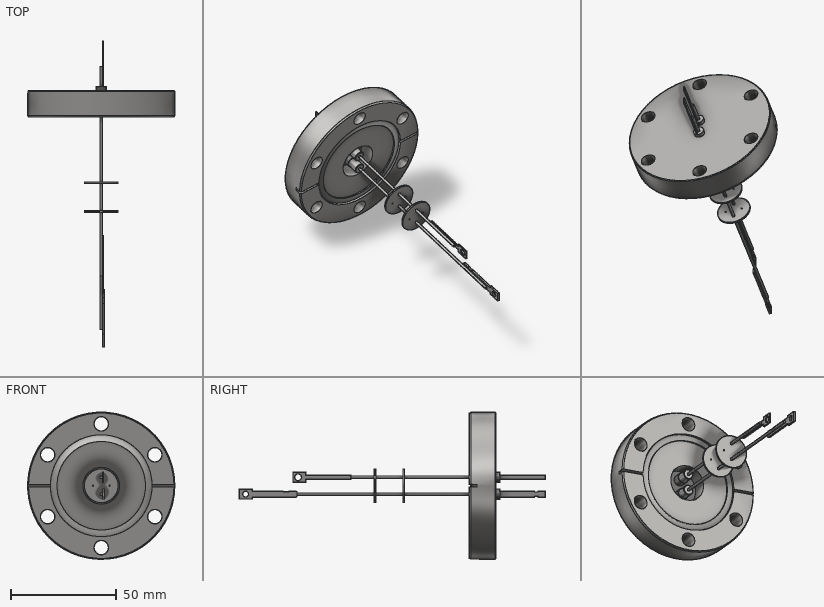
import cadquery as cq
import math


flange_dia = 69.85
flange_thickness = 12.7
front_chamfer_radial = 0.45
front_chamfer_axial = 0.9
rear_chamfer = 0.4
bolt_count = 6
bolt_circle_dia = 58.7
bolt_hole_dia = 6.7

recess_dia = 48.3
knife_dia = 42.0
knife_setback = 0.6
knife_angle = 12.0
inner_face_setback = 1.4
leak_groove_width = 1.2
leak_groove_depth = 3.8

bore_dia = 17.4
bore_floor_y = 9.7

pin_spacing = 8.0
pin_dia = 1.3
pin_rear_y = 24.1
insulator_dia = 4.9
insulator_rear_protrusion = 1.8
insulator_rear_y = flange_thickness + insulator_rear_protrusion
insulator_front_y = 0.0
insulator_front_chamfer = 0.25
collar_dia = 5.4
collar_front_y = 5.6

disc_dia = 16.0
disc_thickness = 0.85
disc_centers_y = (-31.1, -44.7)
vent_hole_dia = 0.5
vent_hole_spacing = 7.9

strip_overlap = 0.1
strip_x = pin_dia / 2 - strip_overlap
lug_length = 6.2
lug_height = 4.8
rear_tip_y = 36.06
overall_length = 145.16
rear_strip_thickness = 0.6

upper_z = pin_spacing / 2
upper_strip_thickness = 0.6
upper_strip_height = 2.0
upper_pin_front_y = -75.4
upper_strip_start_y = -56.1
upper_tip_y = -83.7
upper_lug_hole_dia = 3.1
upper_lug_hole_from_tip = 2.5

lower_z = -pin_spacing / 2
lower_strip_thickness = 0.95
lower_strip_height = 3.0
lower_pin_front_y = -100.7
lower_strip_start_y = -81.6
lower_tip_y = rear_tip_y - overall_length
lower_lug_hole_dia = 2.65
lower_lug_hole_from_tip = 3.05
strip_corner_chamfer = 0.5
front_notch_start_y = -85.4
front_notch_length = 2.9
front_notch_depth = 0.35
rear_notch_center_y = 31.85
rear_notch_length = 1.6
rear_notch_depth = 0.45


def rod(diameter, y_start, y_end, x=0.0, z=0.0):
    """Cylinder along Y between two Y positions."""
    start = cq.Vector(x, y_start, z)
    return cq.Workplane(cq.Solid.makeCylinder(diameter / 2, y_end - y_start, start, cq.Vector(0, 1, 0)))


def plate(y_start, y_end, z, height, thickness):
    """Flat plate beside a pin, centred on that pin's height."""
    corner = (strip_x, y_start, z - height / 2)
    return cq.Workplane("XY").box(thickness, y_end - y_start, height, centered=False).translate(corner)


def make_flange():
    outer_r = flange_dia / 2
    recess_r = recess_dia / 2
    knife_r = knife_dia / 2
    recess_depth = knife_setback + (recess_r - knife_r) * math.tan(math.radians(knife_angle))
    profile = [
        (0, inner_face_setback),
        (knife_r, inner_face_setback),
        (knife_r, knife_setback),
        (recess_r, recess_depth),
        (recess_r, 0),
        (outer_r - front_chamfer_radial, 0),
        (outer_r, front_chamfer_axial),
        (outer_r, flange_thickness - rear_chamfer),
        (outer_r - rear_chamfer, flange_thickness),
        (0, flange_thickness),
    ]
    flange = cq.Workplane("XY").polyline(profile).close().revolve(360, (0, 0, 0), (0, 1, 0))

    for i in range(bolt_count):
        angle = math.radians(90 + i * 360 / bolt_count)
        x = bolt_circle_dia / 2 * math.cos(angle)
        z = bolt_circle_dia / 2 * math.sin(angle)
        flange = flange.cut(rod(bolt_hole_dia, 0, flange_thickness, x, z))

    groove = cq.Workplane("XY").box(flange_dia, 2 * leak_groove_depth, leak_groove_width)
    groove = groove.cut(rod(recess_dia, -leak_groove_depth, leak_groove_depth))
    return flange.cut(groove).cut(rod(bore_dia, 0, bore_floor_y))


def make_disc(center_y):
    y_start = center_y - disc_thickness / 2
    y_end = center_y + disc_thickness / 2
    disc = rod(disc_dia, y_start, y_end)
    for side in (-1, 1):
        disc = disc.cut(rod(vent_hole_dia, y_start, y_end, side * vent_hole_spacing / 2))
    return disc


def make_conductor(z, pin_front_y):
    insulator = rod(insulator_dia, insulator_front_y, insulator_rear_y, z=z)
    insulator = insulator.faces("<Y").chamfer(insulator_front_chamfer)
    insulator = insulator.union(rod(collar_dia, collar_front_y, bore_floor_y, z=z))
    return insulator.union(rod(pin_dia, pin_front_y, pin_rear_y, z=z))


def make_lug(tip_y, z, thickness, hole_dia, hole_from_tip):
    lug = plate(tip_y, tip_y + lug_length, z, lug_height, thickness)
    return lug.faces(">X").workplane(origin=(0, tip_y + hole_from_tip, z)).hole(hole_dia)


def make_upper_connectors():
    lug_end_y = upper_tip_y + lug_length
    front = plate(lug_end_y, upper_strip_start_y, upper_z, upper_strip_height, upper_strip_thickness)
    lug = make_lug(upper_tip_y, upper_z, upper_strip_thickness, upper_lug_hole_dia, upper_lug_hole_from_tip)
    rear = plate(insulator_rear_y, rear_tip_y, upper_z, upper_strip_height, rear_strip_thickness)
    return front.union(lug).union(rear)


def make_lower_connectors():
    lug_end_y = lower_tip_y + lug_length
    front = plate(lug_end_y, lower_strip_start_y, lower_z, lower_strip_height, lower_strip_thickness)
    front = front.faces(">Y").edges("|X").chamfer(strip_corner_chamfer)
    front_notch = plate(
        front_notch_start_y - front_notch_length,
        front_notch_start_y,
        lower_z + lower_strip_height / 2,
        2 * front_notch_depth,
        lower_strip_thickness,
    )
    lug = make_lug(lower_tip_y, lower_z, lower_strip_thickness, lower_lug_hole_dia, lower_lug_hole_from_tip)

    rear = plate(insulator_rear_y, rear_tip_y, lower_z, lower_strip_height, rear_strip_thickness)
    for side in (-1, 1):
        rear_notch = plate(
            rear_notch_center_y - rear_notch_length / 2,
            rear_notch_center_y + rear_notch_length / 2,
            lower_z + side * lower_strip_height / 2,
            2 * rear_notch_depth,
            rear_strip_thickness,
        )
        rear = rear.cut(rear_notch)
    return front.cut(front_notch).union(lug).union(rear)


result = make_flange()
for disc_y in disc_centers_y:
    result = result.union(make_disc(disc_y))
result = result.union(make_conductor(upper_z, upper_pin_front_y))
result = result.union(make_conductor(lower_z, lower_pin_front_y))
result = result.union(make_upper_connectors())
result = result.union(make_lower_connectors())